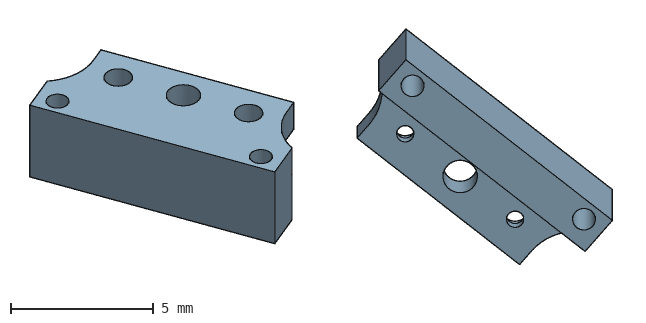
import cadquery as cq
import math

length = 9.4
depth = 3.9
height = 3.2
bar_depth = 1.5
flange_thickness = 1.2

neck_width = 7.4
scallop_radius = 2.0

center_hole_diameter = 1.2
rear_hole_y = 2.7
screw_hole_x = 2.5
screw_hole_diameter = 0.6
counterbore_diameter = 1.0
counterbore_depth = 0.8
corner_hole_x = 3.9
corner_hole_y = 0.6
corner_hole_diameter = 0.8


def make_bar():
    return cq.Workplane("XY").box(length, bar_depth, height, centered=(True, False, False))


def make_flange():
    half_length = length / 2
    half_neck = neck_width / 2
    scallop_center_x = half_neck + scallop_radius
    rise = math.sqrt(scallop_radius**2 - (scallop_center_x - half_length) ** 2)
    scallop_center_y = bar_depth + rise
    half_sweep = math.asin(rise / scallop_radius) / 2
    middle_x = scallop_center_x - scallop_radius * math.cos(half_sweep)
    middle_y = scallop_center_y - scallop_radius * math.sin(half_sweep)
    return (
        cq.Workplane("XY", origin=(0, 0, height - flange_thickness))
        .moveTo(-half_length, 0)
        .lineTo(half_length, 0)
        .lineTo(half_length, bar_depth)
        .threePointArc((middle_x, middle_y), (half_neck, scallop_center_y))
        .lineTo(half_neck, depth)
        .lineTo(-half_neck, depth)
        .lineTo(-half_neck, scallop_center_y)
        .threePointArc((-middle_x, middle_y), (-half_length, bar_depth))
        .close()
        .extrude(flange_thickness)
    )


def drill(points, diameter, hole_depth):
    """Cylinders reaching down from the top face."""
    return (
        cq.Workplane("XY", origin=(0, 0, height))
        .pushPoints(points)
        .circle(diameter / 2)
        .extrude(-hole_depth)
    )


screw_points = [(side * screw_hole_x, rear_hole_y) for side in (-1, 1)]
corner_points = [(side * corner_hole_x, corner_hole_y) for side in (-1, 1)]

result = make_bar().union(make_flange())
result = result.cut(drill([(0, rear_hole_y)], center_hole_diameter, height))
result = result.cut(drill(screw_points, screw_hole_diameter, height))
result = result.cut(drill(screw_points, counterbore_diameter, counterbore_depth))
result = result.cut(drill(corner_points, corner_hole_diameter, height))